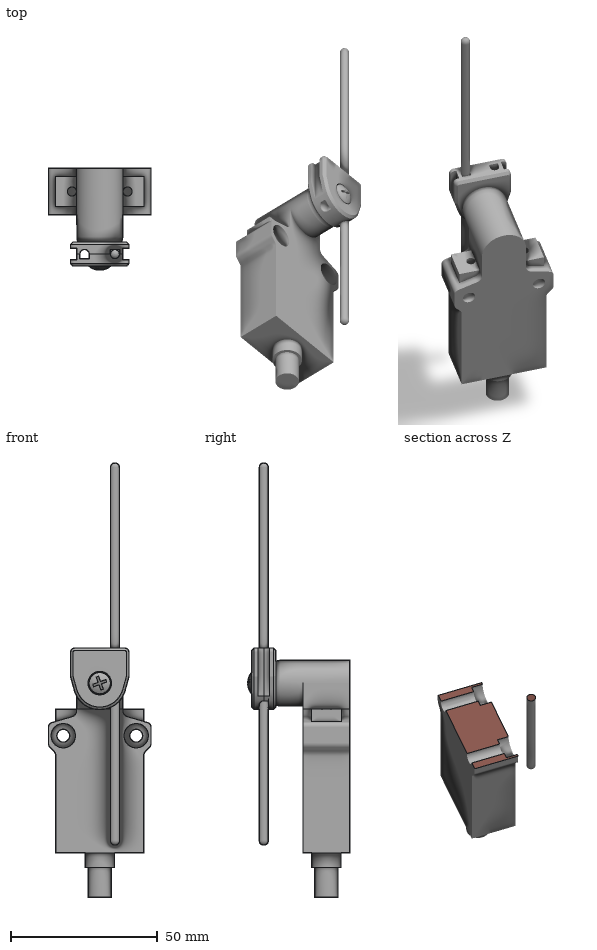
import cadquery as cq
import math


OVERALL_HEIGHT = 147.8

HOUSING_WIDTH = 30.0
HOUSING_DEPTH = 16.0
HOUSING_HEIGHT = 48.9
MID_Y = -HOUSING_DEPTH / 2
NECK_WIDTH = 15.7
EAR_SPAN = 35.0
EAR_TOP_RADIUS = 1.8
EAR_BOTTOM_RADIUS = 2.0
NECK_RADIUS = 2.4
EAR_TOP_Z = 44.0
EAR_BOTTOM_Z = 36.5
SHOULDER_ANGLE = 16
TERMINAL_DEPTH = 10.2
TERMINAL_HOLE_X = 9.5
TERMINAL_HOLE_DIAMETER = 3.1
TERMINAL_HOLE_DEPTH = 4.5
MOUNT_HOLE_X = 12.4
MOUNT_HOLE_Z = 39.9
MOUNT_HOLE_DIAMETER = 4.3
MOUNT_BORE_DIAMETER = 8.3
MOUNT_BORE_DEPTH = 4.0

GLAND_DIAMETER = 10.0
GLAND_LENGTH = 5.0
CABLE_DIAMETER = 8.0
OUTLET_LENGTH = 15.0

SHAFT_Z = 57.8
BARREL_RADIUS = NECK_WIDTH / 2
BARREL_LENGTH = 25.1
BARREL_CHAMFER_LENGTH = 1.5
BARREL_CHAMFER_WIDTH = 0.3

PLATE_THICKNESS = 4.1
CLAMP_Y = -BARREL_LENGTH - PLATE_THICKNESS
PLATE_WIDTH = 20.0
PLATE_TOP = 12.0
PLATE_STRAIGHT_END = 2.2
PLATE_ROUND_RADIUS = 9.0
PLATE_CHAMFER = 0.9
PLATE_CORNER_RADIUS = 1.5
WAIST_WIDTH = 15.8
WAIST_THICKNESS = 1.9
PLATE_RECESS_DIAMETER = 8.0
PLATE_RECESS_DEPTH = 1.2

ROD_DIAMETER = 3.1
ROD_X = 5.2
ROD_BOTTOM_Z = 2.7
ROD_TOP_Z = OVERALL_HEIGHT - OUTLET_LENGTH
ROD_END_RADIUS = 1.5

SCREW_HEAD_DIAMETER = 7.2
SCREW_DOME_HEIGHT = 1.3
SCREW_RIM_HEIGHT = 1.21
SCREW_SHANK_DIAMETER = 4.0
SCREW_THREAD_DEPTH = 5.9
CROSS_LENGTH = 4.7
CROSS_WIDTH = 0.9
CROSS_DEPTH = 1.5
CROSS_ANGLE = 20


def cylinder_y(diameter, length, y_start, x=0.0, z=0.0):
    """Cylinder along Y that starts at y_start and runs towards -Y."""
    return cq.Workplane("XZ", origin=(x, y_start, z)).circle(diameter / 2).extrude(length)


def cylinder_z(diameter, z_bottom, z_top, x=0.0, y=0.0):
    """Cylinder along Z between two heights."""
    return cq.Workplane("XY", origin=(x, y, z_bottom)).circle(diameter / 2).extrude(z_top - z_bottom)


def z_band(z_low, z_high):
    """Selector for the housing edges whose middle lies between two heights."""
    return cq.selectors.BoxSelector(
        (-EAR_SPAN, -2 * HOUSING_DEPTH, z_low), (EAR_SPAN, HOUSING_DEPTH, z_high)
    )


def make_housing_shell():
    """Housing with two mounting ears and a neck, its ear and neck corners rounded."""
    half_width = HOUSING_WIDTH / 2
    half_span = EAR_SPAN / 2
    half_neck = NECK_WIDTH / 2
    ear_step = half_span - half_width
    shoulder_z = EAR_TOP_Z + (half_span - half_neck) * math.tan(math.radians(SHOULDER_ANGLE))
    right_side = [
        (half_width, 0),
        (half_width, EAR_BOTTOM_Z - ear_step),
        (half_span, EAR_BOTTOM_Z),
        (half_span, EAR_TOP_Z),
        (half_neck, shoulder_z),
        (half_neck, HOUSING_HEIGHT),
    ]
    left_side = [(-x, z) for x, z in reversed(right_side)]
    shell = cq.Workplane("XZ").polyline(right_side + left_side).close().extrude(HOUSING_DEPTH)
    ear_corners = z_band(MOUNT_HOLE_Z, EAR_TOP_Z + EAR_TOP_RADIUS)
    neck_corners = z_band(EAR_TOP_Z + EAR_TOP_RADIUS, (shoulder_z + HOUSING_HEIGHT) / 2)
    lower_corners = z_band(EAR_BOTTOM_Z - 2 * ear_step, MOUNT_HOLE_Z)
    shell = shell.edges("|Y").edges(ear_corners).fillet(EAR_TOP_RADIUS)
    shell = shell.edges("|Y").edges(lower_corners).fillet(EAR_BOTTOM_RADIUS)
    return shell.edges("|Y").edges(neck_corners).fillet(NECK_RADIUS)


def make_housing():
    housing = make_housing_shell()

    block_height = HOUSING_HEIGHT - MOUNT_HOLE_Z
    block = (
        cq.Workplane("XY", origin=(0, MID_Y, MOUNT_HOLE_Z))
        .box(HOUSING_WIDTH, TERMINAL_DEPTH, block_height, centered=(True, True, False))
    )
    housing = housing.union(block)

    housing = housing.union(cylinder_z(GLAND_DIAMETER, -GLAND_LENGTH, 0, y=MID_Y))
    housing = housing.union(cylinder_z(CABLE_DIAMETER, -OUTLET_LENGTH, 0, y=MID_Y))

    hole_bottom = HOUSING_HEIGHT - TERMINAL_HOLE_DEPTH
    for side in (-1, 1):
        terminal_x = side * TERMINAL_HOLE_X
        mount_x = side * MOUNT_HOLE_X
        housing = housing.cut(
            cylinder_z(TERMINAL_HOLE_DIAMETER, hole_bottom, HOUSING_HEIGHT, terminal_x, MID_Y)
        )
        housing = housing.cut(cylinder_y(MOUNT_HOLE_DIAMETER, HOUSING_DEPTH, 0, mount_x, MOUNT_HOLE_Z))
        bore_start = MOUNT_BORE_DEPTH - HOUSING_DEPTH
        housing = housing.cut(
            cylinder_y(MOUNT_BORE_DIAMETER, MOUNT_BORE_DEPTH, bore_start, mount_x, MOUNT_HOLE_Z)
        )
    return housing


def make_head():
    """Foot on the housing neck carrying the barrel, with the screw hole in the barrel's front end."""
    foot = (
        cq.Workplane("XY", origin=(0, MID_Y, HOUSING_HEIGHT))
        .box(NECK_WIDTH, HOUSING_DEPTH, SHAFT_Z - HOUSING_HEIGHT, centered=(True, True, False))
    )
    barrel = (
        cylinder_y(2 * BARREL_RADIUS, BARREL_LENGTH, 0, z=SHAFT_Z)
        .faces("<Y")
        .chamfer(BARREL_CHAMFER_LENGTH, BARREL_CHAMFER_WIDTH)
    )
    screw_hole = cylinder_y(
        SCREW_SHANK_DIAMETER, SCREW_THREAD_DEPTH, SCREW_THREAD_DEPTH - BARREL_LENGTH, z=SHAFT_Z
    )
    return foot.union(barrel).cut(screw_hole)


def make_clamp_plate():
    """Front clamp plate: shield outline, waisted inner half, one round and one square rod groove."""
    half_width = PLATE_WIDTH / 2
    corner_distance = math.hypot(half_width, PLATE_STRAIGHT_END)
    tangent_angle = math.atan2(PLATE_STRAIGHT_END, half_width) - math.acos(
        PLATE_ROUND_RADIUS / corner_distance
    )
    tangent_x = PLATE_ROUND_RADIUS * math.cos(tangent_angle)
    tangent_z = PLATE_ROUND_RADIUS * math.sin(tangent_angle)
    plate = (
        cq.Workplane("XZ", origin=(0, CLAMP_Y, SHAFT_Z))
        .moveTo(-half_width, PLATE_TOP)
        .lineTo(half_width, PLATE_TOP)
        .lineTo(half_width, PLATE_STRAIGHT_END)
        .lineTo(tangent_x, tangent_z)
        .threePointArc((0, -PLATE_ROUND_RADIUS), (-tangent_x, tangent_z))
        .lineTo(-half_width, PLATE_STRAIGHT_END)
        .close()
        .extrude(PLATE_THICKNESS)
        .faces(">Z")
        .edges("|Y")
        .fillet(PLATE_CORNER_RADIUS)
        .faces("<Y")
        .chamfer(PLATE_CHAMFER)
    )

    for side in (-1, 1):
        notch = (
            cq.Workplane("XY", origin=(side * (WAIST_WIDTH + PLATE_WIDTH) / 2, CLAMP_Y, SHAFT_Z))
            .box(PLATE_WIDTH, 2 * WAIST_THICKNESS, 3 * PLATE_TOP)
        )
        plate = plate.cut(notch)

    round_groove = cylinder_z(ROD_DIAMETER, 0, ROD_TOP_Z, ROD_X, CLAMP_Y)
    square_groove = (
        cq.Workplane("XY", origin=(-ROD_X, CLAMP_Y, SHAFT_Z))
        .box(ROD_DIAMETER, ROD_DIAMETER, 3 * PLATE_TOP)
    )
    plate = plate.cut(round_groove).cut(square_groove)

    shank_hole = cylinder_y(SCREW_SHANK_DIAMETER, PLATE_THICKNESS, CLAMP_Y, z=SHAFT_Z)
    recess_start = CLAMP_Y - PLATE_THICKNESS + PLATE_RECESS_DEPTH
    recess = cylinder_y(PLATE_RECESS_DIAMETER, PLATE_RECESS_DEPTH, recess_start, z=SHAFT_Z)
    return plate.cut(shank_hole).cut(recess)


def make_rod():
    return (
        cylinder_z(ROD_DIAMETER, ROD_BOTTOM_Z, ROD_TOP_Z, ROD_X, CLAMP_Y)
        .faces("<Z or >Z")
        .fillet(ROD_END_RADIUS)
    )


def make_screw():
    """Domed cross-head screw through both plates into the barrel."""
    head_radius = SCREW_HEAD_DIAMETER / 2
    seat_y = CLAMP_Y - PLATE_THICKNESS + PLATE_RECESS_DEPTH
    rim_y = seat_y - SCREW_RIM_HEIGHT
    top_y = rim_y - SCREW_DOME_HEIGHT
    end_y = SCREW_THREAD_DEPTH - BARREL_LENGTH
    dome_radius = (head_radius ** 2 + SCREW_DOME_HEIGHT ** 2) / (2 * SCREW_DOME_HEIGHT)
    half_dome_angle = math.asin(head_radius / dome_radius) / 2
    dome_mid = (
        dome_radius * math.sin(half_dome_angle),
        top_y + dome_radius * (1 - math.cos(half_dome_angle)),
    )
    shank_radius = SCREW_SHANK_DIAMETER / 2
    screw = (
        cq.Workplane("XY")
        .moveTo(0, end_y)
        .lineTo(shank_radius, end_y)
        .lineTo(shank_radius, seat_y)
        .lineTo(head_radius, seat_y)
        .lineTo(head_radius, rim_y)
        .threePointArc(dome_mid, (0, top_y))
        .close()
        .revolve(360, (0, 0, 0), (0, 1, 0))
        .translate((0, 0, SHAFT_Z))
    )
    for angle in (CROSS_ANGLE, CROSS_ANGLE + 90):
        slot = (
            cq.Workplane("XZ", origin=(0, top_y + CROSS_DEPTH, SHAFT_Z))
            .transformed(rotate=(0, 0, angle))
            .rect(CROSS_LENGTH, CROSS_WIDTH)
            .extrude(CROSS_DEPTH)
        )
        screw = screw.cut(slot)
    return screw


housing = make_housing()
head = make_head()
rod = make_rod()
screw = make_screw()

clamp_plates = []
for turn in (0, 180):
    clamp_plate = make_clamp_plate().rotate((0, CLAMP_Y, 0), (0, CLAMP_Y, 1), turn)
    clamp_plates.append(clamp_plate.val())

result = cq.Compound.makeCompound([housing.val(), head.val(), *clamp_plates, rod.val(), screw.val()])